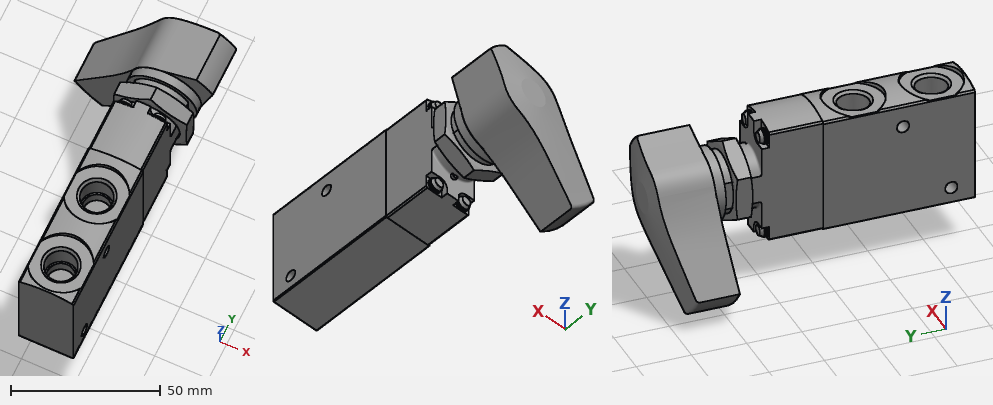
import cadquery as cq
import math


BONNET_FRONT = 54.9
BONNET_BACK = 77.0
NUT_FRONT = 81.8
NUT_THICKNESS = 6.0
NECK_BACK = 91.3
LEVER_FRONT = 94.7
LEVER_BACK = 116.4

BODY_WIDTH = 20.4
BONNET_WIDTH = 19.8
BOTTOM_Z = -21.0
CROWN_Z = 22.7
CROWN_RADIUS = 32.2
EDGE_CHAMFER = 0.6
BODY_BOTTOM_CHAMFER = 0.3

PORT_Y = (11.8, 40.0)
PORT_FACE_DIAMETER = 22.0
PORT_FACE_Z = 20.8
PORT_MOUTH_DIAMETER = 13.4
PORT_DIAMETER = 11.4
PORT_DEPTH = 9.3
PORT_CORE_DIAMETER = 10.0
PORT_CORE_DEPTH = 14.0

MOUNTING_HOLES = ((26.1, 12.9), (8.6, -15.0))
MOUNTING_HOLE_DIAMETER = 4.4

NECK_DIAMETER = 22.2
NECK_ROOT_FILLET = 0.7

PIN_DIAMETER = 2.5
PIN_Z = -11.2
PIN_HEIGHT = 1.0

RECESS_DEPTH = 2.7
RECESS_INNER_X = 2.7
RECESS_INNER_Z = 15.6
RECESS_CORNER_RADIUS = 3.4
SCREW_X = 6.3
SCREW_Z = 18.3
KNURL_HEIGHT = 1.3
KNURL_OUTER_DIAMETER = 5.5
KNURL_ROOT_DIAMETER = 5.0
KNURL_TEETH = 18
DOME_BASE_DIAMETER = 5.1
DOME_TOP_DIAMETER = 3.7

NUT_ACROSS_FLATS = 27.0
NUT_CHAMFER_DEPTH = 0.6

LEVER_ANGLE = 45.0
COLLAR_DIAMETER = 26.0
HUB_RADIUS = 12.8
HUB_END_ANGLE = 107.0
HEEL_RADIUS = 20.6
HEEL_HALF_WIDTH = 4.3
SHOULDER = (7.1, 14.4)
WAIST = (8.6, -24.2)
TIP_RADIUS = 41.4
TIP_HALF_WIDTH = 7.3
CONE_TOP_RADIUS = 5.6
CONE_SLOPE = 0.17
END_FILLET = 1.3


def along_y(y):
    """Workplane at the given Y whose local axes are X and Z; extrude by a negative length toward +Y."""
    return cq.Workplane("XZ", origin=(0, y, 0))


def cylinder_y(diameter, y_start, y_end, x=0, z=0):
    return along_y(y_start).center(x, z).circle(diameter / 2).extrude(y_start - y_end)


def crowned_block(width, y_start, y_end, bottom_chamfer):
    """Upright block with a crowned top and bevelled lengthwise edges."""
    half = width / 2
    edge_z = CROWN_Z - CROWN_RADIUS + math.sqrt(CROWN_RADIUS**2 - half**2)
    block = (
        along_y(y_start)
        .moveTo(-half, BOTTOM_Z)
        .lineTo(half, BOTTOM_Z)
        .lineTo(half, edge_z)
        .threePointArc((0, CROWN_Z), (-half, edge_z))
        .close()
        .extrude(y_start - y_end)
    )
    block = block.faces("<Z").edges("|Y").chamfer(bottom_chamfer)
    return block.edges("|Y").edges(">Z").chamfer(EDGE_CHAMFER)


def port_cutter(y):
    """Spot face, countersunk mouth, bore and core hole of one port."""

    def bore(diameter, depth, taper=0):
        face = cq.Workplane("XY", origin=(0, y, PORT_FACE_Z))
        return face.circle(diameter / 2).extrude(-depth, taper=taper)

    spot_face = bore(PORT_FACE_DIAMETER, PORT_FACE_Z - CROWN_Z)
    mouth_depth = (PORT_MOUTH_DIAMETER - PORT_DIAMETER) / 2
    mouth = bore(PORT_MOUTH_DIAMETER, mouth_depth, taper=45)
    return (
        spot_face.union(mouth)
        .union(bore(PORT_DIAMETER, PORT_DEPTH))
        .union(bore(PORT_CORE_DIAMETER, PORT_CORE_DEPTH))
    )


def make_valve_body():
    body = crowned_block(BODY_WIDTH, 0, BONNET_FRONT, BODY_BOTTOM_CHAMFER)
    for y in PORT_Y:
        body = body.cut(port_cutter(y))
    holes = (
        cq.Workplane("YZ", origin=(-BODY_WIDTH / 2, 0, 0))
        .pushPoints(MOUNTING_HOLES)
        .circle(MOUNTING_HOLE_DIAMETER / 2)
        .extrude(BODY_WIDTH)
    )
    return body.cut(holes)


def corner_recess(side_x, side_z):
    """Notch in one rear corner of the bonnet, with a rounded inner corner."""
    size_x = BONNET_WIDTH
    size_z = CROWN_Z
    centre_x = side_x * (RECESS_INNER_X + size_x / 2)
    centre_z = side_z * (RECESS_INNER_Z + size_z / 2)
    return (
        along_y(BONNET_BACK - RECESS_DEPTH)
        .center(centre_x, centre_z)
        .rect(size_x, size_z)
        .extrude(-RECESS_DEPTH)
        .edges("|Y")
        .fillet(RECESS_CORNER_RADIUS)
    )


def screw_head(x, z):
    """Knurled screw head with a conical dome, flush with the back of the bonnet."""
    knurl_front = BONNET_BACK - RECESS_DEPTH
    dome_front = knurl_front + KNURL_HEIGHT
    outline = []
    for i in range(2 * KNURL_TEETH):
        diameter = KNURL_OUTER_DIAMETER if i % 2 == 0 else KNURL_ROOT_DIAMETER
        angle = math.pi * i / KNURL_TEETH
        outline.append((diameter / 2 * math.cos(angle), diameter / 2 * math.sin(angle)))
    knurl = along_y(knurl_front).center(x, z).polyline(outline).close().extrude(-KNURL_HEIGHT)
    dome = (
        along_y(dome_front)
        .center(x, z)
        .circle(DOME_BASE_DIAMETER / 2)
        .workplane(offset=dome_front - BONNET_BACK)
        .circle(DOME_TOP_DIAMETER / 2)
        .loft()
    )
    return knurl.union(dome)


def make_neck():
    """Round neck with a flared root, flattened on both sides level with the bonnet."""
    radius = NECK_DIAMETER / 2
    fillet = NECK_ROOT_FILLET
    neck = (
        cq.Workplane("XY")
        .moveTo(0, BONNET_BACK)
        .lineTo(radius + fillet, BONNET_BACK)
        .radiusArc((radius, BONNET_BACK + fillet), fillet)
        .lineTo(radius, NECK_BACK)
        .lineTo(0, NECK_BACK)
        .close()
        .revolve(360, (0, 0, 0), (0, 1, 0))
    )
    between_flats = cq.Workplane("XY").box(BONNET_WIDTH, 2 * NECK_BACK, 2 * NECK_DIAMETER)
    return neck.intersect(between_flats)


def make_bonnet():
    bonnet = crowned_block(BONNET_WIDTH, BONNET_FRONT, BONNET_BACK, EDGE_CHAMFER)
    for side_x in (-1, 1):
        for side_z in (-1, 1):
            bonnet = bonnet.cut(corner_recess(side_x, side_z))
            bonnet = bonnet.union(screw_head(side_x * SCREW_X, side_z * SCREW_Z))
    locating_pin = cylinder_y(PIN_DIAMETER, BONNET_BACK, BONNET_BACK + PIN_HEIGHT, z=PIN_Z)
    return bonnet.union(make_neck()).union(locating_pin)


def make_nut():
    """Hexagon nut with flats facing +X and -X and corners bevelled on both faces."""
    nut_back = NUT_FRONT + NUT_THICKNESS
    across_corners = NUT_ACROSS_FLATS / math.cos(math.pi / 6)
    hexagon = (
        along_y(NUT_FRONT)
        .transformed(rotate=(0, 0, 30))
        .polygon(6, across_corners)
        .extrude(-NUT_THICKNESS)
    )
    bevel = cylinder_y(across_corners, NUT_FRONT, nut_back).edges().chamfer(
        NUT_CHAMFER_DEPTH, (across_corners - NUT_ACROSS_FLATS) / 2
    )
    return hexagon.intersect(bevel).cut(cylinder_y(NECK_DIAMETER, NUT_FRONT, nut_back))


def on_circle(radius, angle):
    """Point (x, z) on a circle about the lever axis, with the angle in radians measured from +Z."""
    return (radius * math.sin(angle), radius * math.cos(angle))


def lever_plate():
    """Lever outline, symmetric about the Z axis, as a straight-sided plate."""
    heel_corner = (HEEL_HALF_WIDTH, math.sqrt(HEEL_RADIUS**2 - HEEL_HALF_WIDTH**2))
    tip_corner = (TIP_HALF_WIDTH, -math.sqrt(TIP_RADIUS**2 - TIP_HALF_WIDTH**2))
    shoulder_angle = math.atan2(*SHOULDER)
    hub_start_angle = shoulder_angle + math.acos(HUB_RADIUS / math.hypot(*SHOULDER))
    hub_end_angle = math.radians(HUB_END_ANGLE)
    hub_middle_angle = (hub_start_angle + hub_end_angle) / 2
    heel_middle_angle = math.atan2(*heel_corner) / 2
    tip_middle_angle = (math.pi + math.atan2(*tip_corner)) / 2
    return (
        along_y(LEVER_FRONT)
        .moveTo(0, HEEL_RADIUS)
        .threePointArc(on_circle(HEEL_RADIUS, heel_middle_angle), heel_corner)
        .lineTo(*SHOULDER)
        .lineTo(*on_circle(HUB_RADIUS, hub_start_angle))
        .threePointArc(on_circle(HUB_RADIUS, hub_middle_angle), on_circle(HUB_RADIUS, hub_end_angle))
        .tangentArcPoint(WAIST, relative=False)
        .lineTo(*tip_corner)
        .threePointArc(on_circle(TIP_RADIUS, tip_middle_angle), (0, -TIP_RADIUS))
        .mirrorY()
        .extrude(LEVER_FRONT - LEVER_BACK)
    )


def lever_cone():
    """Shallow cone about the lever axis that slopes the back of the lever."""
    rim_radius = TIP_RADIUS + END_FILLET
    rim_y = LEVER_BACK - CONE_SLOPE * (rim_radius - CONE_TOP_RADIUS)
    return (
        cq.Workplane("XY")
        .moveTo(0, LEVER_FRONT)
        .lineTo(rim_radius, LEVER_FRONT)
        .lineTo(rim_radius, rim_y)
        .lineTo(CONE_TOP_RADIUS, LEVER_BACK)
        .lineTo(0, LEVER_BACK)
        .close()
        .revolve(360, (0, 0, 0), (0, 1, 0))
    )


def end_edges(z_end):
    """Selector for the back edge of the lever end whose middle lies at the given Z."""
    middle_y = (LEVER_FRONT + LEVER_BACK) / 2
    return cq.selectors.BoxSelector(
        (-HEEL_HALF_WIDTH, middle_y, z_end - END_FILLET),
        (HEEL_HALF_WIDTH, LEVER_BACK, z_end + END_FILLET),
    )


def make_lever():
    lever = lever_plate().intersect(lever_cone())
    for z_end in (HEEL_RADIUS, -TIP_RADIUS):
        lever = lever.edges(end_edges(z_end)).fillet(END_FILLET)
    lever = lever.union(cylinder_y(COLLAR_DIAMETER, NECK_BACK, LEVER_FRONT))
    return lever.rotate((0, 0, 0), (0, 1, 0), LEVER_ANGLE)


valve_body = make_valve_body()
bonnet = make_bonnet()
nut = make_nut()
lever = make_lever()
bodies = (valve_body, bonnet, nut, lever)
result = cq.Compound.makeCompound([body.solids().val() for body in bodies])